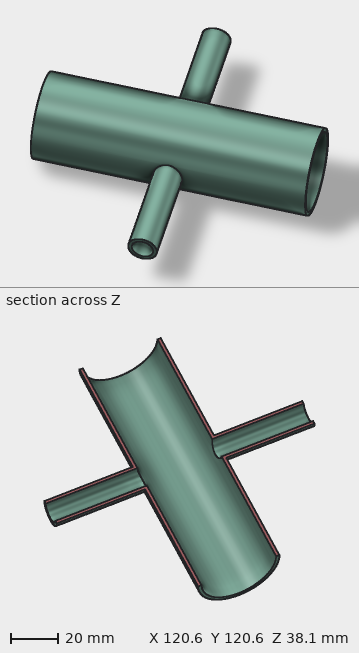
import cadquery as cq

run_length = 120.6
run_outer_diameter = 38.1
run_inner_diameter = 34.7

branch_span = 120.6
branch_outer_diameter = 12.7
branch_inner_diameter = 9.4


def centered_cylinder(plane, diameter, length):
    """Solid cylinder about the origin, along the normal of the plane."""
    return cq.Workplane(plane).circle(diameter / 2).extrude(length / 2, both=True)


outer_run = centered_cylinder("YZ", run_outer_diameter, run_length)
outer_branches = centered_cylinder("XZ", branch_outer_diameter, branch_span)

run_bore = centered_cylinder("YZ", run_inner_diameter, run_length)
branch_bore = centered_cylinder("XZ", branch_inner_diameter, branch_span)

result = outer_run.union(outer_branches).cut(run_bore).cut(branch_bore)